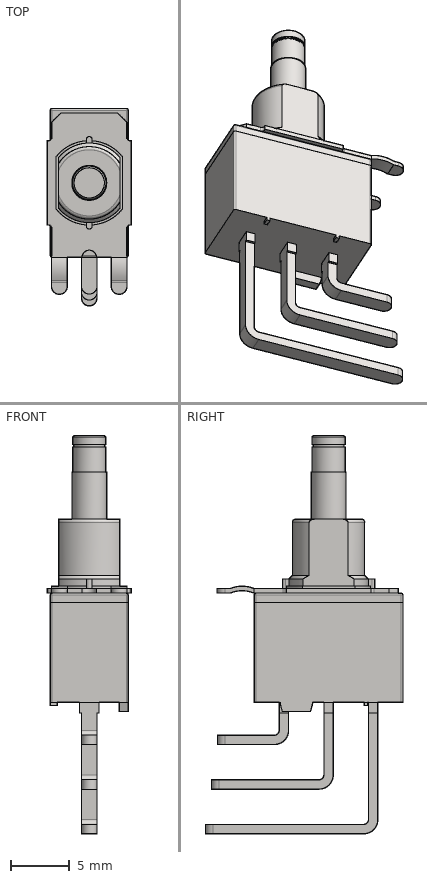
import cadquery as cq
import math


case_width = 6.67
case_length = 12.72
case_height = 9.32
seam_height = 8.55
case_edge_radius = 0.17

small_tab_size = (0.6, 0.3, 0.27)
small_tab_y = 3.2
stop_tab_width = 0.78
stop_tab_height = 0.78
stop_tab_start_y = -1.33
stop_tab_end_y = -4.15
stop_tab_slant = 0.2

plate_thickness = 0.4
plate_width = 7.18
plate_end_width = 6.43
plate_shoulder_y = 3.6
plate_shoulder_radius = 0.27
plate_back_y = 5.95
plate_corner_chamfer = 0.78
plate_front_y = -6.35
notch_radius = 0.6

leg_width = 1.35
leg_outer_x = 3.23
leg_arch_end_y = -8.4
leg_arch_rise = 0.2
leg_arch_blend_radius = 0.5
leg_tip_y = -9.53

flange_radius = 3.6
flange_width = 5.65
flange_thickness = 0.2
bushing_radius = 3.1
bushing_width = 5.25
bushing_top = 15.65
bushing_edge_radius = 0.27
collar_radius = 3.4
collar_top = 10.55
collar_cone_height = 0.3
key_width = 0.5
key_tip_y = 3.95

plunger_top = 22.8
plunger_radius = 1.5
plunger_step_height = 19.65
plunger_neck_radius = 1.43
groove_radius = 1.33
groove_bottom = 21.8
groove_width = 0.2
plunger_edge_chamfer = 0.15

pin_pitch = 3.8
pin_thickness = 0.8
pin_width = 1.33
pin_shoulder_width = 1.7
pin_shoulder_length = 0.92
pin_bend_radius = 0.4
longest_pin_depth = 11.23
longest_pin_tip_y = -10.5
pin_tip_step = 0.5
pin_count = 3

plate_top = case_height + plate_thickness
flange_top = plate_top + flange_thickness
selection_margin = 0.05


def box_around(width, front_y, back_y, bottom, top):
    """Select the edges whose centres lie in a box centred on X = 0."""
    return cq.selectors.BoxSelector(
        (-width / 2 - selection_margin, front_y - selection_margin, bottom - selection_margin),
        (width / 2 + selection_margin, back_y + selection_margin, top + selection_margin),
    )


def round_tip(strip, width, tip_y):
    """Trim a strip that runs along Y, centred on X = 0, to a full round at its -Y tip."""
    center_y = tip_y + width / 2
    plan = (
        cq.Workplane("XY", origin=(0, 0, -longest_pin_depth))
        .moveTo(width / 2, case_length)
        .lineTo(width / 2, center_y)
        .threePointArc((0, tip_y), (-width / 2, center_y))
        .lineTo(-width / 2, case_length)
        .close()
        .extrude(longest_pin_depth + plunger_top)
    )
    return strip.intersect(plan)


def case_block(bottom, top):
    return (
        cq.Workplane("XY", origin=(0, 0, bottom))
        .rect(case_width, case_length)
        .extrude(top - bottom)
        .edges("|Z")
        .fillet(case_edge_radius)
    )


def small_tab(center_y):
    width, length, height = small_tab_size
    return cq.Workplane("XY").box(width, length, height, centered=(False, True, False)).translate(
        (-case_width / 2, center_y, -height)
    )


def stop_tab():
    outline = [
        (stop_tab_start_y, 0),
        (stop_tab_start_y - stop_tab_slant, -stop_tab_height),
        (stop_tab_end_y + stop_tab_slant, -stop_tab_height),
        (stop_tab_end_y, 0),
    ]
    inner_x = case_width / 2 - stop_tab_width
    return cq.Workplane("YZ", origin=(inner_x, 0, 0)).polyline(outline).close().extrude(stop_tab_width)


def make_case():
    case = case_block(0, seam_height).union(stop_tab())
    for side in (-1, 1):
        case = case.union(small_tab(side * small_tab_y))
    return case


def bracket_plate():
    plate_length = plate_back_y - plate_front_y
    strip = (
        cq.Workplane("XY", origin=(0, (plate_back_y + plate_front_y) / 2, case_height))
        .rect(plate_end_width, plate_length)
        .extrude(plate_thickness)
        .edges("|Z and >Y")
        .chamfer(plate_corner_chamfer)
    )
    wings = (
        cq.Workplane("XY", origin=(0, 0, case_height))
        .rect(plate_width, 2 * plate_shoulder_y)
        .extrude(plate_thickness)
    )
    inside_corners = box_around(plate_end_width, -plate_shoulder_y, plate_shoulder_y, case_height, plate_top)
    notch = (
        cq.Workplane("XY", origin=(0, plate_front_y, case_height))
        .circle(notch_radius)
        .extrude(plate_thickness)
    )
    return strip.union(wings).edges("|Z").edges(inside_corners).fillet(plate_shoulder_radius).cut(notch)


def bracket_leg(side):
    arch_peak_y = (plate_front_y + leg_arch_end_y) / 2
    leg = (
        cq.Workplane("YZ", origin=(-leg_width / 2, 0, 0))
        .moveTo(plate_front_y, case_height)
        .threePointArc((arch_peak_y, case_height + leg_arch_rise), (leg_arch_end_y, case_height))
        .lineTo(leg_tip_y, case_height)
        .lineTo(leg_tip_y, plate_top)
        .lineTo(leg_arch_end_y, plate_top)
        .threePointArc((arch_peak_y, plate_top + leg_arch_rise), (plate_front_y, plate_top))
        .close()
        .extrude(leg_width)
    )
    arch_end = box_around(leg_width, leg_arch_end_y, leg_arch_end_y, plate_top, plate_top)
    leg = round_tip(leg, leg_width, leg_tip_y)
    leg = leg.edges(arch_end).fillet(leg_arch_blend_radius)
    return leg.translate((side * (leg_outer_x - leg_width / 2), 0, 0))


def flatted(body, width):
    """Keep the part of a round body between two flats that face +X and -X."""
    slab = cq.Workplane("XY").rect(width, 2 * flange_radius).extrude(bushing_top)
    return body.intersect(slab)


def bushing():
    flange = cq.Workplane("XY", origin=(0, 0, plate_top)).circle(flange_radius).extrude(flange_thickness)
    barrel = (
        cq.Workplane("XY", origin=(0, 0, flange_top))
        .circle(bushing_radius)
        .extrude(bushing_top - flange_top)
        .faces(">Z")
        .edges()
        .fillet(bushing_edge_radius)
    )
    collar = (
        cq.Workplane("XZ")
        .moveTo(0, flange_top)
        .lineTo(collar_radius, flange_top)
        .lineTo(collar_radius, collar_top)
        .lineTo(bushing_radius, collar_top + collar_cone_height)
        .lineTo(0, collar_top + collar_cone_height)
        .close()
        .revolve(360, (0, 0, 0), (0, 1, 0))
    )
    keys = (
        cq.Workplane("XY", origin=(0, 0, plate_top))
        .slot2D(2 * key_tip_y, key_width, 90)
        .extrude(collar_top - plate_top)
    )
    return flatted(flange, flange_width).union(flatted(barrel.union(collar), bushing_width)).union(keys)


def plunger():
    groove_top = groove_bottom + groove_width
    return (
        cq.Workplane("XZ")
        .moveTo(0, bushing_top)
        .lineTo(plunger_radius, bushing_top)
        .lineTo(plunger_radius, plunger_step_height)
        .lineTo(plunger_neck_radius, plunger_step_height)
        .lineTo(plunger_neck_radius, groove_bottom)
        .lineTo(groove_radius, groove_bottom)
        .lineTo(groove_radius, groove_top)
        .lineTo(plunger_neck_radius, groove_top)
        .lineTo(plunger_neck_radius, plunger_top - plunger_edge_chamfer)
        .lineTo(plunger_neck_radius - plunger_edge_chamfer, plunger_top)
        .lineTo(0, plunger_top)
        .close()
        .revolve(360, (0, 0, 0), (0, 1, 0))
    )


def make_actuator_head():
    """Join the cap of the case with the bracket, the bushing and the plunger."""
    head = case_block(seam_height, case_height).faces(">Z").edges().fillet(case_edge_radius)
    head = head.union(bracket_plate())
    for side in (-1, 1):
        head = head.union(bracket_leg(side))
    return head.union(bushing()).union(plunger())


def make_pin(center_y, depth, tip_y):
    front_y = center_y - pin_thickness / 2
    back_y = center_y + pin_thickness / 2
    arm_top = -depth + pin_thickness
    outer_radius = pin_bend_radius + pin_thickness
    bend_y = front_y - pin_bend_radius
    bend_z = arm_top + pin_bend_radius
    diagonal = math.sqrt(0.5)
    inner_mid = (bend_y + pin_bend_radius * diagonal, bend_z - pin_bend_radius * diagonal)
    outer_mid = (bend_y + outer_radius * diagonal, bend_z - outer_radius * diagonal)
    blade = (
        cq.Workplane("YZ", origin=(-pin_width / 2, 0, 0))
        .moveTo(front_y, 0)
        .lineTo(front_y, bend_z)
        .threePointArc(inner_mid, (bend_y, arm_top))
        .lineTo(tip_y, arm_top)
        .lineTo(tip_y, -depth)
        .lineTo(bend_y, -depth)
        .threePointArc(outer_mid, (back_y, bend_z))
        .lineTo(back_y, 0)
        .close()
        .extrude(pin_width)
    )
    blade = round_tip(blade, pin_width, tip_y)
    shoulder = (
        cq.Workplane("XY", origin=(0, center_y, -pin_shoulder_length))
        .rect(pin_shoulder_width, pin_thickness)
        .extrude(pin_shoulder_length)
    )
    return blade.union(shoulder)


case = make_case()
actuator_head = make_actuator_head()
pins = []
for index in range(pin_count):
    pins.append(
        make_pin(
            center_y=(1 - index) * pin_pitch,
            depth=longest_pin_depth - index * pin_pitch,
            tip_y=longest_pin_tip_y + index * pin_tip_step,
        )
    )

result = cq.Compound.makeCompound([case.val(), actuator_head.val(), *[pin.val() for pin in pins]])